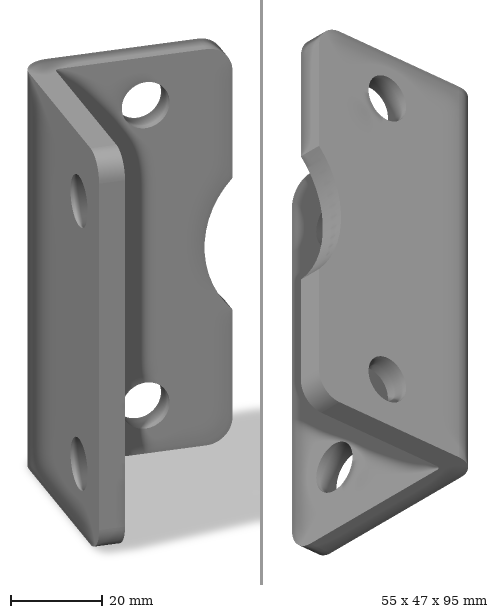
import cadquery as cq

width = 55.0
depth = 47.0
height = 95.0
thickness = 6.0

inner_bend_radius = 1.0
outer_bend_radius = thickness
corner_radius = thickness

front_hole_diameter = 12.0
front_hole_x = 41.0
front_hole_spacing = 63.0

side_hole_diameter = 11.0
side_hole_y = 27.0
side_hole_spacing = 72.0

notch_radius = 22.5
notch_depth = 6.5

middle_z = height / 2


def angle_profile():
    """L-shaped section with a rounded bend, extruded upwards."""
    body = (
        cq.Workplane("XY")
        .polyline([
            (0, 0),
            (width, 0),
            (width, thickness),
            (thickness, thickness),
            (thickness, depth),
            (0, depth),
        ])
        .close()
        .extrude(height)
    )
    outer_edge = cq.selectors.NearestToPointSelector((0, 0, middle_z))
    inner_edge = cq.selectors.NearestToPointSelector((thickness, thickness, middle_z))
    body = body.edges(outer_edge).fillet(outer_bend_radius)
    return body.edges(inner_edge).fillet(inner_bend_radius)


def round_free_corners(body):
    """Round the top and bottom corners at the free end of each flange."""
    body = body.faces(">X").edges("|Y").fillet(corner_radius)
    return body.faces(">Y").edges("|X").fillet(corner_radius)


def front_cutters():
    """Pair of cylinders along Y, one above and one below mid-height."""
    offset = front_hole_spacing / 2
    return (
        cq.Workplane("XZ", origin=(front_hole_x, 0, middle_z))
        .pushPoints([(0, -offset), (0, offset)])
        .circle(front_hole_diameter / 2)
        .extrude(-thickness)
    )


def side_cutters():
    """Pair of cylinders along X, one above and one below mid-height."""
    offset = side_hole_spacing / 2
    return (
        cq.Workplane("YZ", origin=(0, side_hole_y, middle_z))
        .pushPoints([(0, -offset), (0, offset)])
        .circle(side_hole_diameter / 2)
        .extrude(thickness)
    )


def notch_cutter():
    """Cylinder along X that bites into the free edge of the side flange."""
    centre_y = depth - notch_depth + notch_radius
    return (
        cq.Workplane("YZ", origin=(0, centre_y, middle_z))
        .circle(notch_radius)
        .extrude(thickness)
    )


bracket = round_free_corners(angle_profile())
result = bracket.cut(front_cutters()).cut(side_cutters()).cut(notch_cutter())